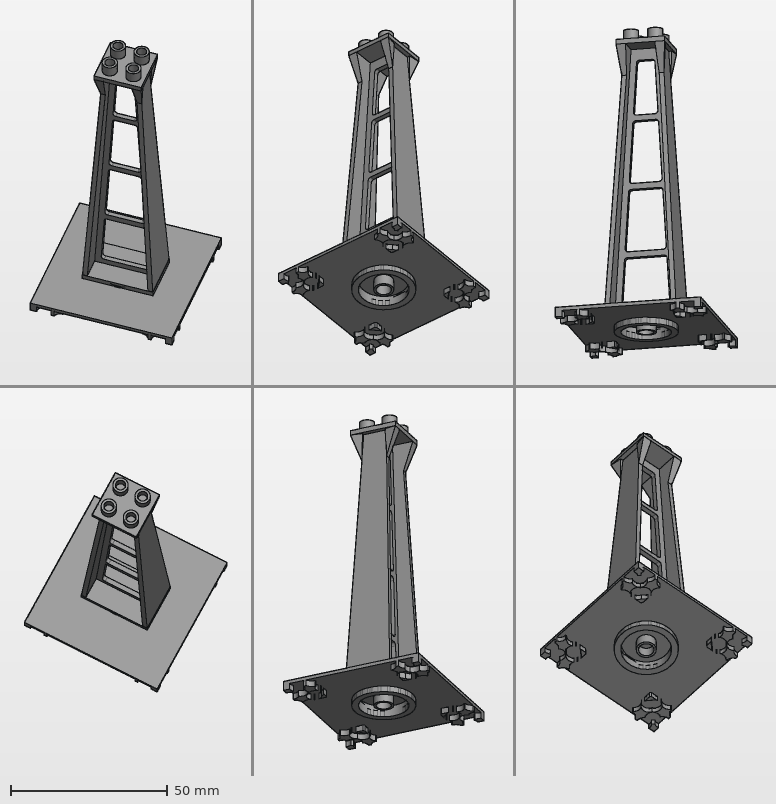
import cadquery as cq

PITCH = 8.0
BASE_SIZE = 6 * PITCH
BASE_TOP = 3.2
BASE_UNDERSIDE = 2.0
STUD_DIA = 4.9
STUD_BORE_DIA = 3.2
SOCKET_ANGLES = (0.0, 16.26, -16.26)
SOCKET_ROWS = 4
FOOT_SIZE = 10.5

HUB_DIA = 20.5
HUB_BORE_DIA = 16.11
HUB_BORE_DEPTH = 3.7
TUBE_DIA = 6.4
TUBE_BORE_DIA = 4.9

PLINTH_X = 3 * PITCH
PLINTH_Y = 2 * PITCH
PLINTH_TOP = 4.8

HEAD_BOTTOM = 94.4
LEG_OUTER = (11.9, 6.4)
LEG_INNER = (10.25, 4.8)
LEG_DEPTH = (7.9, 4.0)
WEB_THICKNESS = 1.6
FRAME_WIDTH = 2.05
WINDOW_SPANS = ((6.7, 25.1), (27.1, 47.8), (49.8, 70.6), (72.5, 90.7))
WINDOW_RADIUS = 1.0

HEAD_SIZE = 2 * PITCH
HEAD_TOP = 96.0
STUD_HEIGHT = 3.6
GUSSET_BOTTOM = 84.9
GUSSET_ROOT = 7.35
SIGNS = (-1, 1)


def half_width_at(ends, z):
    """Half width at height z of a face that tapers from the plinth to the head."""
    share = (z - PLINTH_TOP) / (HEAD_BOTTOM - PLINTH_TOP)
    return ends[0] + (ends[1] - ends[0]) * share


def block(size_x, size_y, bottom, top):
    return cq.Workplane("XY").workplane(offset=bottom).rect(size_x, size_y).extrude(top - bottom)


def disc(diameter, bottom, top):
    return cq.Workplane("XY").workplane(offset=bottom).circle(diameter / 2).extrude(top - bottom)


def stud_sockets(angle):
    """Sockets on the stud grid, with the grid turned about Z."""
    rows = [(i + 0.5) * PITCH for i in range(-SOCKET_ROWS, SOCKET_ROWS)]
    points = [(x, y) for x in rows for y in rows]
    sockets = cq.Workplane("XY").pushPoints(points).circle(STUD_DIA / 2).extrude(BASE_UNDERSIDE)
    return sockets.rotate((0, 0, 0), (0, 0, 1), angle)


def base():
    foot_offset = (BASE_SIZE - FOOT_SIZE) / 2
    foot_centres = [(x * foot_offset, y * foot_offset) for x in SIGNS for y in SIGNS]
    feet = cq.Workplane("XY").pushPoints(foot_centres).rect(FOOT_SIZE, FOOT_SIZE).extrude(BASE_UNDERSIDE)
    feet = feet.union(disc(HUB_DIA, 0, BASE_UNDERSIDE))
    for angle in SOCKET_ANGLES:
        feet = feet.cut(stud_sockets(angle), clean=False)
    plate = block(BASE_SIZE, BASE_SIZE, BASE_UNDERSIDE, BASE_TOP)
    plinth = block(PLINTH_X, PLINTH_Y, BASE_TOP, PLINTH_TOP)
    body = plate.union(plinth).union(feet)
    body = body.cut(disc(HUB_BORE_DIA, 0, HUB_BORE_DEPTH))
    tube = disc(TUBE_DIA, 0, HUB_BORE_DEPTH).cut(disc(TUBE_BORE_DIA, 0, HUB_BORE_DEPTH))
    return body.union(tube)


def trapezoid(ends, bottom, top, depth):
    """Upright tapering panel, centred on the XZ plane."""
    low = half_width_at(ends, bottom)
    high = half_width_at(ends, top)
    outline = [(-low, bottom), (low, bottom), (high, top), (-high, top)]
    return cq.Workplane("XZ").polyline(outline).close().extrude(depth / 2, both=True)


def tower():
    full_depth = 2 * LEG_DEPTH[0]
    legs = trapezoid(LEG_OUTER, PLINTH_TOP, HEAD_BOTTOM, full_depth)
    legs = legs.cut(trapezoid(LEG_INNER, PLINTH_TOP, HEAD_BOTTOM, full_depth))
    low_y, high_y = LEG_DEPTH
    side = [(-low_y, PLINTH_TOP), (low_y, PLINTH_TOP), (high_y, HEAD_BOTTOM), (-high_y, HEAD_BOTTOM)]
    legs = legs.intersect(cq.Workplane("YZ").polyline(side).close().extrude(LEG_OUTER[0], both=True))

    web = trapezoid(LEG_INNER, PLINTH_TOP, HEAD_BOTTOM, WEB_THICKNESS)
    window_ends = [half - FRAME_WIDTH for half in LEG_INNER]
    for bottom, top in WINDOW_SPANS:
        window = trapezoid(window_ends, bottom, top, WEB_THICKNESS)
        web = web.cut(window.edges("|Y").fillet(WINDOW_RADIUS))
    return legs.union(web)


def gusset(side_x, side_y):
    """Flared corner that spreads from the edge of a leg to a corner of the head."""
    def point(x, y, z):
        return cq.Vector(side_x * x, side_y * y, z)

    corner = HEAD_SIZE / 2
    inner_top, root_top, edge_top = LEG_INNER[1], GUSSET_ROOT, LEG_DEPTH[1]
    edge_low = half_width_at(LEG_DEPTH, GUSSET_BOTTOM)
    low_in = point(half_width_at(LEG_INNER, GUSSET_BOTTOM), edge_low, GUSSET_BOTTOM)
    low_out = point(half_width_at(LEG_OUTER, GUSSET_BOTTOM), edge_low, GUSSET_BOTTOM)
    leg_in = point(inner_top, edge_top, HEAD_BOTTOM)
    leg_out = point(root_top, edge_top, HEAD_BOTTOM)
    tip_in = point(inner_top, corner, HEAD_BOTTOM)
    tip_out = point(corner, corner, HEAD_BOTTOM)
    loops = [
        [low_in, low_out, tip_out, tip_in],
        [low_in, low_out, leg_out, leg_in],
        [low_in, tip_in, leg_in],
        [low_out, leg_out, tip_out],
        [leg_in, leg_out, tip_out, tip_in],
    ]
    faces = [cq.Face.makeFromWires(cq.Wire.makePolygon(loop, close=True)) for loop in loops]
    return cq.Workplane(cq.Solid.makeSolid(cq.Shell.makeShell(faces)).fix())


def head():
    body = block(HEAD_SIZE, HEAD_SIZE, HEAD_BOTTOM, HEAD_TOP)
    top_plane = cq.Workplane("XY").workplane(offset=HEAD_TOP)
    studs = top_plane.rect(PITCH, PITCH, forConstruction=True).vertices()
    return body.union(studs.circle(STUD_DIA / 2).circle(STUD_BORE_DIA / 2).extrude(STUD_HEIGHT))


result = base().union(tower()).union(head())
for side_x in SIGNS:
    for side_y in SIGNS:
        result = result.union(gusset(side_x, side_y))